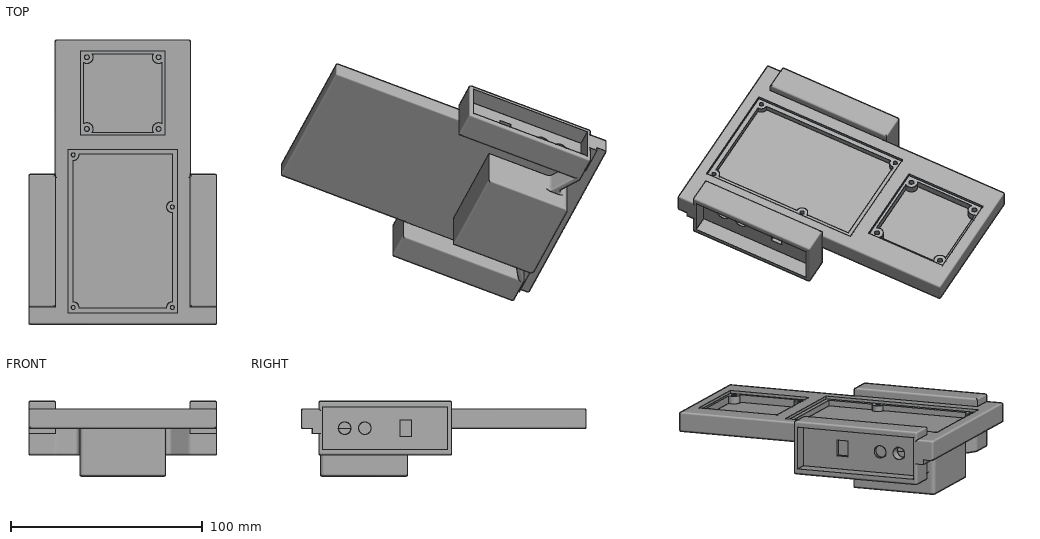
import cadquery as cq
import math

EDGE_RADIUS = 1.0
CORNER_RADIUS = 2.1

LENGTH = 148.5
WIDTH = 98.0
NECK_WIDTH = 70.7
PLATE_THICKNESS = 10.4

POD_GAP = 69.9
POD_FRONT = 9.0
POD_BACK = 78.4
POD_TOP = 14.4
POD_BOTTOM = -13.8
POD_END_WALL = 2.1
POD_SIDE_WALL = 3.0
POD_POCKET_DEPTH = 8.0

POD_HOLE_DIAMETER = 6.5
CABLE_HOLE_Y = 22.5
BLIND_HOLE_Y = 33.1
SLOT_Y = 54.3
SLOT_LENGTH = 6.1
SLOT_HEIGHT = 8.5
BLIND_DEPTH = 2.1

TAB_LENGTH = 4.5
TAB_TOP = 3.0
TAB_BOTTOM = -2.5

BOX_WIDTH = 44.8
BOX_FRONT = 10.0
BOX_BACK = 55.4
BOX_BOTTOM = -24.8

STRUT_ANGLE = 33.0
STRUT_THICKNESS = 3.0
STRUT_BACK_RADIUS = 3.0
POD_CORNER_RADIUS = 3.0

SMALL_SIZE = 44.0
SMALL_LEDGE = 1.5
SMALL_CENTER_Y = 120.7
SMALL_HOLE_OFFSET = 18.7
SMALL_HOLE_DIAMETER = 2.5
SMALL_BOSS_DIAMETER = 6.5
SMALL_FLOOR_DEPTH = 5.5

LARGE_WIDTH = 56.9
LARGE_LENGTH = 85.4
LARGE_LEDGE = 2.5
LARGE_CENTER_Y = 48.7
LARGE_HOLE_X = 25.8
LARGE_HOLE_Y = 39.8
LARGE_SIDE_HOLE_Y = 12.6
LARGE_HOLE_DIAMETER = 2.1
LARGE_BOSS_DIAMETER = 6.0
LARGE_FLOOR_DEPTH = 4.5

LEDGE_DEPTH = 1.5

HALF_WIDTH = WIDTH / 2
POD_INNER_X = -POD_GAP / 2
POD_MID_Z = (POD_TOP + POD_BOTTOM) / 2
POD_FLOOR_X = -HALF_WIDTH + POD_POCKET_DEPTH
BOX_SIDE_X = -BOX_WIDTH / 2
PLATE_SHOULDER_Y = POD_BACK - EDGE_RADIUS


def block(x0, x1, y0, y1, z0, z1):
    """Axis-aligned block between two opposite corners."""
    return cq.Workplane("XY").box(x1 - x0, y1 - y0, z1 - z0, centered=False).translate((x0, y0, z0))


def mirrored(body):
    """The body together with its mirror image across the middle plane x = 0."""
    return body.union(body.mirror("YZ"))


def make_plate():
    """T-shaped plate with rounded outer edges."""
    neck = block(-NECK_WIDTH / 2, NECK_WIDTH / 2, 0, LENGTH, 0, PLATE_THICKNESS)
    wide_end = block(-HALF_WIDTH, HALF_WIDTH, 0, PLATE_SHOULDER_Y, 0, PLATE_THICKNESS)
    plate = neck.union(wide_end)
    front_and_back = plate.edges("<Y or >Y")
    outer_uprights = plate.edges("|Z and (<Y or >Y)")
    top_outline = plate.faces(">Z").edges()
    neck_middle_y = (PLATE_SHOULDER_Y + LENGTH) / 2
    neck_undersides = [
        plate.edges(cq.selectors.NearestToPointSelector((side * NECK_WIDTH / 2, neck_middle_y, 0)))
        for side in (-1, 1)
    ]
    rounded = front_and_back.add(outer_uprights).add(top_outline)
    for edge in neck_undersides:
        rounded = rounded.add(edge)
    return rounded.fillet(EDGE_RADIUS)


def make_pod_upper():
    """Part of the left pod above the plate underside."""
    pod = block(-HALF_WIDTH, POD_INNER_X, POD_FRONT, POD_BACK, 0, POD_TOP)
    pod = pod.edges("|Z and <X").fillet(EDGE_RADIUS)
    return pod.faces(">Z").edges().fillet(EDGE_RADIUS)


def make_pod_lower():
    """Left pod below the plate underside, with the strut that ties it to the box."""
    pod = block(-HALF_WIDTH, POD_INNER_X, POD_FRONT, POD_BACK, POD_BOTTOM, 0)
    pod = pod.edges("|Z and <X").fillet(EDGE_RADIUS)

    slope = math.tan(math.radians(STRUT_ANGLE))
    rise = slope * (BOX_SIDE_X - POD_INNER_X)
    wall_in_y = STRUT_THICKNESS / math.cos(math.radians(STRUT_ANGLE))
    strut = (
        cq.Workplane("XY", origin=(0, 0, POD_BOTTOM))
        .moveTo(POD_INNER_X, POD_FRONT)
        .lineTo(BOX_SIDE_X, POD_FRONT + rise)
        .lineTo(BOX_SIDE_X, POD_FRONT + rise + wall_in_y)
        .lineTo(POD_INNER_X, POD_FRONT + wall_in_y)
        .close()
        .extrude(-POD_BOTTOM)
    )
    box_side = block(BOX_SIDE_X, 0, BOX_FRONT + CORNER_RADIUS, BOX_BACK, POD_BOTTOM, 0)
    lower = pod.union(strut).union(box_side)

    def upright_edge(x, y):
        return cq.selectors.NearestToPointSelector((x, y, POD_BOTTOM / 2))

    strut_back_y = POD_FRONT + rise + wall_in_y
    lower = lower.edges(upright_edge(POD_INNER_X, POD_FRONT)).fillet(POD_CORNER_RADIUS)
    lower = lower.edges(upright_edge(BOX_SIDE_X, POD_FRONT + rise)).fillet(CORNER_RADIUS)
    lower = lower.edges(upright_edge(BOX_SIDE_X, strut_back_y)).fillet(STRUT_BACK_RADIUS)
    return lower.faces("<Z").edges().fillet(EDGE_RADIUS)


def make_tab():
    """Small tab standing forward from the left pod, partly inside the plate."""
    tab_back = POD_FRONT + EDGE_RADIUS
    return block(-HALF_WIDTH, POD_INNER_X, tab_back - TAB_LENGTH, tab_back, TAB_BOTTOM, TAB_TOP)


def make_box():
    """Box hanging below the wide end of the plate."""
    box = block(BOX_SIDE_X, -BOX_SIDE_X, BOX_FRONT, BOX_BACK, BOX_BOTTOM, 0)
    box = box.edges("|Z and <Y").fillet(CORNER_RADIUS)
    return box.faces("<Z").edges().fillet(EDGE_RADIUS)


def pod_hole(y, depth):
    """Round bore that starts at the left pod's pocket floor and runs inward."""
    return (
        cq.Workplane("YZ", origin=(POD_FLOOR_X, y, POD_MID_Z))
        .circle(POD_HOLE_DIAMETER / 2)
        .extrude(depth)
    )


def pod_cuts():
    """Everything removed from the left pod."""
    pocket = block(
        -HALF_WIDTH, POD_FLOOR_X,
        POD_FRONT + POD_END_WALL, POD_BACK - POD_END_WALL,
        POD_BOTTOM + POD_SIDE_WALL, POD_TOP - POD_SIDE_WALL,
    )
    slot = block(
        POD_FLOOR_X, POD_FLOOR_X + BLIND_DEPTH,
        SLOT_Y - SLOT_LENGTH / 2, SLOT_Y + SLOT_LENGTH / 2,
        POD_MID_Z - SLOT_HEIGHT / 2, POD_MID_Z + SLOT_HEIGHT / 2,
    )
    cable_hole = pod_hole(CABLE_HOLE_Y, POD_INNER_X - POD_FLOOR_X)
    blind_hole = pod_hole(BLIND_HOLE_Y, BLIND_DEPTH)
    return pocket.union(slot).union(cable_hole).union(blind_hole)


def display_recess(width, length, ledge, center_y, floor_depth, screws, boss_diameter, hole_diameter):
    """Stepped recess whose ledge carries screw bosses; screws are relative to its centre."""
    floor_z = PLATE_THICKNESS - floor_depth
    top = cq.Workplane("XY", origin=(0, center_y, PLATE_THICKNESS))
    bottom = cq.Workplane("XY", origin=(0, center_y, floor_z))
    deep_height = floor_depth - LEDGE_DEPTH

    rim = top.rect(width, length).extrude(-LEDGE_DEPTH)
    deep = bottom.rect(width - 2 * ledge, length - 2 * ledge).extrude(deep_height)
    bosses = bottom.pushPoints(screws).circle(boss_diameter / 2).extrude(deep_height)
    holes = bottom.pushPoints(screws).circle(hole_diameter / 2).extrude(deep_height)
    return deep.cut(bosses).union(holes).union(rim)


small_screws = [(x * SMALL_HOLE_OFFSET, y * SMALL_HOLE_OFFSET) for x in (-1, 1) for y in (-1, 1)]
large_screws = [
    (-LARGE_HOLE_X, -LARGE_HOLE_Y),
    (LARGE_HOLE_X, -LARGE_HOLE_Y),
    (-LARGE_HOLE_X, LARGE_HOLE_Y),
    (LARGE_HOLE_X, LARGE_SIDE_HOLE_Y),
]
small_recess = display_recess(
    SMALL_SIZE, SMALL_SIZE, SMALL_LEDGE, SMALL_CENTER_Y, SMALL_FLOOR_DEPTH,
    small_screws, SMALL_BOSS_DIAMETER, SMALL_HOLE_DIAMETER,
)
large_recess = display_recess(
    LARGE_WIDTH, LARGE_LENGTH, LARGE_LEDGE, LARGE_CENTER_Y, LARGE_FLOOR_DEPTH,
    large_screws, LARGE_BOSS_DIAMETER, LARGE_HOLE_DIAMETER,
)

left_pod = make_pod_upper().union(make_pod_lower()).union(make_tab())
body = make_plate().union(mirrored(left_pod)).union(make_box())
result = body.cut(mirrored(pod_cuts())).cut(small_recess).cut(large_recess)